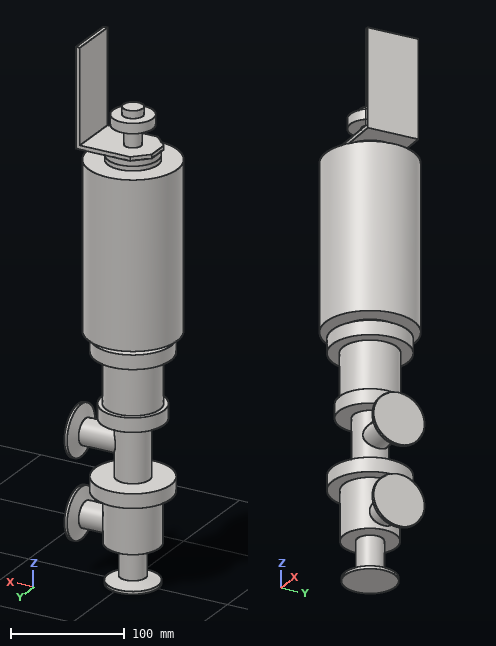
import cadquery as cq
import math

overall_height = 515.82

pipe_diameter = 25.4
ferrule_diameter = 50.5
ferrule_rim = 2.85
ferrule_cone_angle = 20.0
ferrule_cone = (ferrule_diameter - pipe_diameter) / 2 * math.tan(math.radians(ferrule_cone_angle))

port_reach = 55.0
lower_port_z = 55.5
port_spacing = 79.6
port_heights = [lower_port_z, lower_port_z + port_spacing]

clamp_height = 14.0
clamp_diameter = 76.0
small_clamp_diameter = 62.5
chamber_diameter = 53.0
tube_diameter = 33.0
neck_diameter = 54.0
actuator_diameter = 89.1
collar_diameter = 50.0

chamber_z = 38.8
lower_clamp_z = 88.5
small_clamp_z = 158.6
upper_clamp_z = 222.1
actuator_z = 242.4
actuator_height = 165.0
actuator_top = actuator_z + actuator_height
collar_height = 4.5
collar_top = actuator_top + collar_height

spindle_collar_height = 6.0
stem_diameter = 16.0
stem_length = 23.0
knob_diameter = 40.0
knob_height = 10.0
cap_diameter = 19.5
cap_height = 7.5

bracket_z = collar_top + spindle_collar_height
bracket_thickness = 4.0
bracket_width = 50.0
bracket_left = -25.0
bracket_right = 43.5
bracket_corner = 14.0


def disc(diameter, bottom, top):
    """Upright cylinder on the valve axis between two heights."""
    return cq.Workplane("XY").workplane(offset=bottom).circle(diameter / 2).extrude(top - bottom)


def ferruled_pipe(length):
    """Pipe rising along Z from a ferrule whose outer face lies at z = 0."""
    pipe_radius = pipe_diameter / 2
    rim_radius = ferrule_diameter / 2
    return (
        cq.Workplane("XZ")
        .moveTo(0, 0)
        .lineTo(rim_radius, 0)
        .lineTo(rim_radius, ferrule_rim)
        .lineTo(pipe_radius, ferrule_rim + ferrule_cone)
        .lineTo(pipe_radius, length)
        .lineTo(0, length)
        .close()
        .revolve(360, (0, 0, 0), (0, 1, 0))
    )


def make_valve():
    """Valve column with its side ports and the actuator cylinder."""
    column = [
        (chamber_diameter, chamber_z, lower_clamp_z),
        (clamp_diameter, lower_clamp_z, lower_clamp_z + clamp_height),
        (tube_diameter, lower_clamp_z + clamp_height, small_clamp_z),
        (small_clamp_diameter, small_clamp_z, small_clamp_z + clamp_height),
        (neck_diameter, small_clamp_z + clamp_height, upper_clamp_z),
        (clamp_diameter, upper_clamp_z, upper_clamp_z + clamp_height),
        (neck_diameter, upper_clamp_z + clamp_height, actuator_z),
        (actuator_diameter, actuator_z, actuator_top),
        (collar_diameter, actuator_top, collar_top),
    ]
    valve = ferruled_pipe(chamber_z)
    for diameter, bottom, top in column:
        valve = valve.union(disc(diameter, bottom, top))
    for height in port_heights:
        port = ferruled_pipe(port_reach).rotate((0, 0, 0), (0, 1, 0), -90)
        valve = valve.union(port.translate((port_reach, 0, height)))
    return valve


def make_spindle():
    """Collar, stem, knob and cap stacked on top of the actuator."""
    knob_z = bracket_z + stem_length
    knob_top = knob_z + knob_height
    spindle = disc(collar_diameter, collar_top, bracket_z)
    spindle = spindle.union(disc(stem_diameter, bracket_z, knob_z))
    spindle = spindle.union(disc(knob_diameter, knob_z, knob_top))
    return spindle.union(disc(cap_diameter, knob_top, knob_top + cap_height))


def make_bracket():
    """L-shaped plate: a foot with two cut corners and an upright on the +X side."""
    half_width = bracket_width / 2
    bracket = (
        cq.Workplane("XZ")
        .workplane(offset=-half_width)
        .moveTo(bracket_left, bracket_z)
        .lineTo(bracket_right, bracket_z)
        .lineTo(bracket_right, overall_height)
        .lineTo(bracket_right - bracket_thickness, overall_height)
        .lineTo(bracket_right - bracket_thickness, bracket_z + bracket_thickness)
        .lineTo(bracket_left, bracket_z + bracket_thickness)
        .close()
        .extrude(bracket_width)
    )
    bracket = bracket.edges("|Z and <X").chamfer(bracket_corner)
    stem_hole = disc(stem_diameter, bracket_z, bracket_z + bracket_thickness)
    return bracket.cut(stem_hole)


valve = make_valve()
spindle = make_spindle()
bracket = make_bracket()

result = cq.Compound.makeCompound([valve.val(), spindle.val(), bracket.val()])